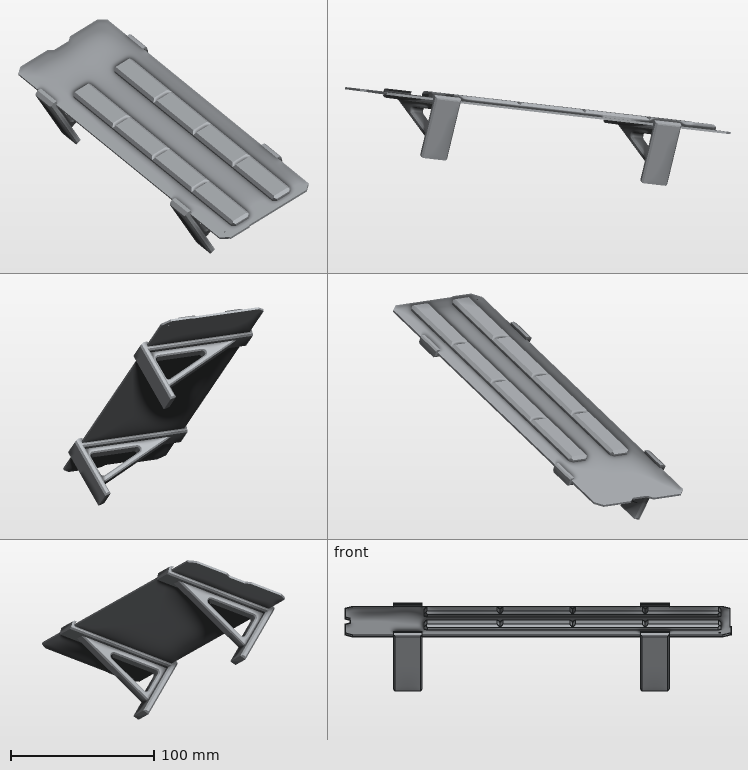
import cadquery as cq
import math

TILT = 15.0

BOARD_LEFT = -134.5
BOARD_RIGHT = 133.8
BOARD_DEPTH = 76.5
BOARD_THICKNESS = 1.5
CORNER_CUT = 5.0
TAB_LENGTH = 16.7
TAB_REACH = 0.8
NOTCH_WIDTH = 19.5
NOTCH_DEPTH = 3.5
HOLE_DIAMETER = 1.0
HOLE_TO_RIGHT_END = 7.3
HOLE_TO_FRONT = 6.0

BAR_CENTER_X = 24.0
BAR_SPACING = 35.3
BAR_WIDTH = 15.5
BAR_HEIGHT = 3.8
BAR_CHAMFER = 2.0
BAR_CORNER_CUT = 2.5
SEGMENT_COUNT = 4
SEGMENT_PITCH = 50.5
BAR_END_MARGIN = 2.5
BAR_LENGTH = SEGMENT_COUNT * SEGMENT_PITCH + 2 * BAR_END_MARGIN

STAND_CENTERS_X = (-91.0, 81.3)
STAND_WIDTH = 20.2
RAIL_THICKNESS = 2.7
FRAME_CHAMFER = 1.2
LIP_TOP = BOARD_THICKNESS + 2.25
REAR_WALL = 2.0
REAR_LIP_OVERLAP = 1.3
REAR_LIP_CHAMFER = 1.0
FRONT_LIP_OVERLAP = 1.0
FRONT_LIP_FLAT_END = -1.5
KNEE_Y = -4.5
KNEE_Z = 0.95
FRONT_WALL_HEIGHT = 0.95
LEG_LENGTH = 43.3
LEG_THICKNESS = 4.5
LEG_LEAN = 15.0
WEB_WIDTH = 10.0
WEB_START_Y = 67.3
WEB_ANGLE = 25.0
WEB_CHAMFER = 1.0
RAIL_RIM = 3.8
LEG_RIM = 3.0
BRACE_RIM = 4.0
WINDOW_RADIUS = 2.0


def make_board():
    middle = BOARD_DEPTH / 2
    notch_half = NOTCH_WIDTH / 2
    notch_floor = BOARD_LEFT + NOTCH_DEPTH
    tab_end = BOARD_RIGHT + TAB_REACH
    outline = [
        (BOARD_LEFT + CORNER_CUT, 0),
        (BOARD_RIGHT - CORNER_CUT, 0),
        (BOARD_RIGHT, CORNER_CUT),
        (tab_end, CORNER_CUT),
        (tab_end, CORNER_CUT + TAB_LENGTH),
        (BOARD_RIGHT, CORNER_CUT + TAB_LENGTH),
        (BOARD_RIGHT, BOARD_DEPTH - CORNER_CUT),
        (BOARD_RIGHT - CORNER_CUT, BOARD_DEPTH),
        (BOARD_LEFT + CORNER_CUT, BOARD_DEPTH),
        (BOARD_LEFT, BOARD_DEPTH - CORNER_CUT),
        (BOARD_LEFT, middle + notch_half),
        (notch_floor, middle + notch_half - NOTCH_DEPTH),
        (notch_floor, middle - notch_half + NOTCH_DEPTH),
        (BOARD_LEFT, middle - notch_half),
        (BOARD_LEFT, CORNER_CUT),
    ]
    blank = cq.Workplane("XY").polyline(outline).close().extrude(BOARD_THICKNESS)
    hole = (
        cq.Workplane("XY")
        .center(BOARD_RIGHT - HOLE_TO_RIGHT_END, HOLE_TO_FRONT)
        .circle(HOLE_DIAMETER / 2)
        .extrude(BOARD_THICKNESS)
    )
    return blank.cut(hole)


def make_bar(center_y):
    """A bar with bevelled top edges and cut corners, divided into segments by V grooves."""
    bar = (
        cq.Workplane("XY")
        .box(BAR_LENGTH, BAR_WIDTH, BAR_HEIGHT, centered=(True, True, False))
        .faces(">Z")
        .chamfer(BAR_CHAMFER)
    )
    corners = (
        cq.Workplane("XY")
        .rect(BAR_LENGTH, BAR_WIDTH)
        .extrude(BAR_HEIGHT)
        .edges("|Z")
        .chamfer(BAR_CORNER_CUT)
    )
    bar = bar.intersect(corners)
    for number in range(1, SEGMENT_COUNT):
        groove_x = (number - SEGMENT_COUNT / 2) * SEGMENT_PITCH
        groove = (
            cq.Workplane("XZ")
            .moveTo(groove_x, BAR_HEIGHT - BAR_CHAMFER)
            .lineTo(groove_x + BAR_CHAMFER, BAR_HEIGHT)
            .lineTo(groove_x - BAR_CHAMFER, BAR_HEIGHT)
            .close()
            .extrude(BAR_WIDTH / 2, both=True)
        )
        bar = bar.cut(groove)
    return bar.translate((BAR_CENTER_X, center_y, BOARD_THICKNESS))


def step(point, angle, distance):
    """The point at a distance from another, in a direction measured from +Y towards +Z."""
    turn = math.radians(angle)
    return (point[0] + distance * math.cos(turn), point[1] + distance * math.sin(turn))


def crossing(point_a, angle_a, point_b, angle_b):
    """Where a line through point_a meets a line through point_b."""
    turn_a = math.radians(angle_a)
    turn_b = math.radians(angle_b)
    gap_y = point_b[0] - point_a[0]
    gap_z = point_b[1] - point_a[1]
    distance = (gap_y * math.sin(turn_b) - gap_z * math.cos(turn_b)) / math.sin(turn_b - turn_a)
    return step(point_a, angle_a, distance)


LEG_DOWN = LEG_LEAN - 90
KNEE = (KNEE_Y, KNEE_Z)
LEG_INNER = step(KNEE, LEG_LEAN, LEG_THICKNESS)
RAIL_UNDERSIDE = (WEB_START_Y, -RAIL_THICKNESS)


def prism(outline, width):
    """A YZ outline extruded to a width centred on X = 0."""
    return cq.Workplane("YZ").polyline(outline).close().extrude(width / 2, both=True)


def make_frame():
    """The rail under the board, its two lips and the leg."""
    rear = BOARD_DEPTH + REAR_WALL
    rear_lip = BOARD_DEPTH - REAR_LIP_OVERLAP
    foot = step(KNEE, LEG_DOWN, LEG_LENGTH)
    outline = [
        (0, 0),
        (BOARD_DEPTH, 0),
        (BOARD_DEPTH, LIP_TOP - REAR_LIP_OVERLAP),
        (rear_lip, LIP_TOP),
        (rear - REAR_LIP_CHAMFER, LIP_TOP),
        (rear, LIP_TOP - REAR_LIP_CHAMFER),
        (rear, -RAIL_THICKNESS),
        crossing(RAIL_UNDERSIDE, 0, LEG_INNER, LEG_DOWN),
        step(foot, LEG_LEAN, LEG_THICKNESS),
        foot,
        KNEE,
        (KNEE_Y, KNEE_Z + FRONT_WALL_HEIGHT),
        (FRONT_LIP_FLAT_END, LIP_TOP),
        (FRONT_LIP_OVERLAP, LIP_TOP),
        (FRONT_LIP_OVERLAP, BOARD_THICKNESS),
        (0, BOARD_THICKNESS),
    ]
    return (
        prism(outline, STAND_WIDTH)
        .faces("<X or >X")
        .edges()
        .filter(lambda edge: edge.Center().z < -RAIL_THICKNESS / 2)
        .chamfer(FRAME_CHAMFER)
    )


def make_web():
    """The triangle bracing the leg to the rail, with a rounded triangular window."""
    overlap = RAIL_THICKNESS / 2
    leg_middle = step(KNEE, LEG_LEAN, LEG_THICKNESS / 2)
    rail_middle = (0, -RAIL_THICKNESS + overlap)
    outline = [
        crossing(rail_middle, 0, leg_middle, LEG_DOWN),
        crossing(rail_middle, 0, RAIL_UNDERSIDE, WEB_ANGLE),
        crossing(leg_middle, LEG_DOWN, RAIL_UNDERSIDE, WEB_ANGLE),
    ]
    window_top = (0, -RAIL_THICKNESS - RAIL_RIM)
    window_front = step(LEG_INNER, LEG_LEAN, LEG_RIM)
    window_brace = step(RAIL_UNDERSIDE, WEB_ANGLE + 90, BRACE_RIM)
    window_outline = [
        crossing(window_top, 0, window_front, LEG_DOWN),
        crossing(window_top, 0, window_brace, WEB_ANGLE),
        crossing(window_front, LEG_DOWN, window_brace, WEB_ANGLE),
    ]
    window = prism(window_outline, WEB_WIDTH).edges("|X").fillet(WINDOW_RADIUS)
    web = prism(outline, WEB_WIDTH).cut(window)
    buried = [outline[0][0] + outline[1][0], outline[0][0] + outline[2][0]]
    return (
        web.faces("<X or >X")
        .edges()
        .filter(lambda edge: all(abs(2 * edge.Center().y - sum_y) > 0.03 for sum_y in buried))
        .chamfer(WEB_CHAMFER)
    )


def make_stand(center_x):
    return make_frame().union(make_web()).translate((center_x, 0, 0))


def tilted(body):
    return body.rotate((0, 0, 0), (1, 0, 0), TILT)


board = make_board()
bars = [make_bar(BOARD_DEPTH / 2 + side * BAR_SPACING / 2) for side in (-1, 1)]
stands = [make_stand(center_x) for center_x in STAND_CENTERS_X]

result = cq.Compound.makeCompound([tilted(body).val() for body in [board, *bars, *stands]])